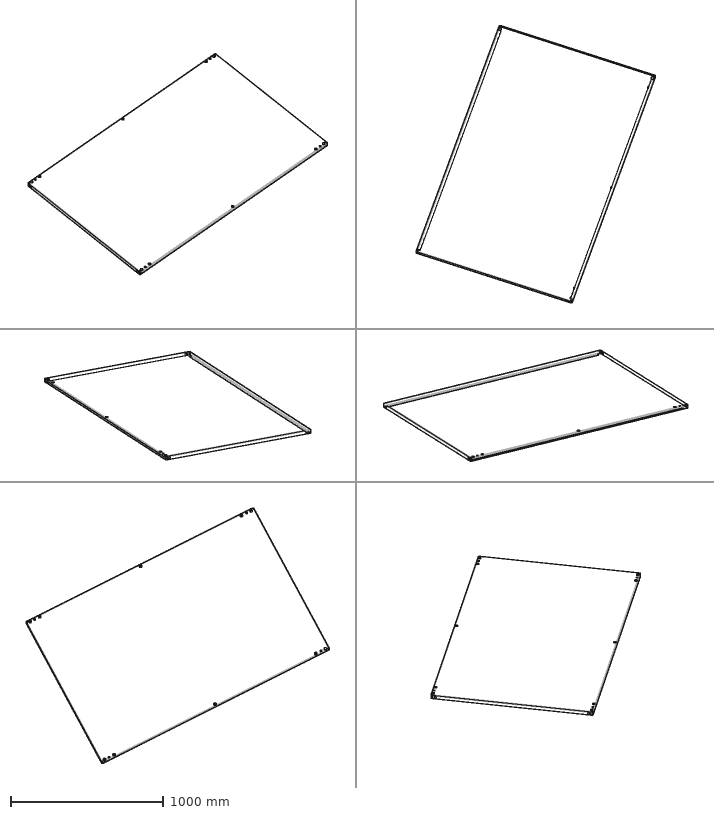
import cadquery as cq

length_x = 1088
length_y = 1688
height = 26.6

sheet = 2.0
bend_radius = 5.5
lip_width = 22
lip_end_inset = 28

corner_radius = 8.0
cap_x = 14.0
cap_y = corner_radius

hole_side_inset = 14.3
mounting_hole_diameter = 17
mounting_hole_end_inset = 26
small_hole_diameter = 11
small_hole_end_inset = 58.5
countersink_diameter = 19
countersunk_hole_diameter = 10
countersunk_hole_end_inset = 97

flange_hole_diameter = 15
flange_hole_side_inset = 30.5

half_x = length_x / 2
half_y = length_y / 2
top = height / 2
underside = top - sheet
hole_x = half_x - hole_side_inset
flange_hole_x = half_x - flange_hole_side_inset
flange_hole_z = -bend_radius / 2


def rounded_block(offset):
    """Outer form of the panel, with each of its faces moved inward by an offset."""
    width = length_x - 2 * offset
    radius = bend_radius - offset
    tray = cq.Workplane("XY").box(width, length_y - 2 * offset, height).translate((0, 0, -offset))
    tray = tray.edges("|Z").fillet(corner_radius - offset)
    tray = tray.faces(">Z").edges().fillet(radius)
    sides = cq.Workplane("XY").box(width, length_y, height - 2 * offset).edges("|Y").fillet(radius)
    return tray.intersect(sides)


def below_top_face(size_x, size_y):
    """Centred block that reaches from the underside of the top face to below the panel."""
    return cq.Workplane("XY").workplane(offset=underside).rect(size_x, size_y).extrude(-height)


def make_skin():
    """Sheet skin: top face, four flanges and a lip along the bottom of each long side."""
    inside_y = length_y - 2 * sheet
    between_lips = below_top_face(length_x - 2 * lip_width, inside_y)
    lip_ends = below_top_face(length_x - 2 * bend_radius, inside_y)
    lip_ends = lip_ends.cut(below_top_face(length_x, length_y - 2 * lip_end_inset))
    return rounded_block(0).cut(rounded_block(sheet)).cut(between_lips).cut(lip_ends)


def make_corner_blocks():
    """Upright blocks that mark off the caps at the four corners."""
    centres = cq.Workplane("XY").rect(length_x - cap_x, length_y - cap_y, forConstruction=True)
    return centres.vertices().rect(cap_x, cap_y).extrude(height, both=True)


def corner_points(end_inset):
    """Hole centres near the four corners, at a distance from the panel's ends."""
    hole_y = half_y - end_inset
    return [(side * hole_x, end * hole_y) for side in (-1, 1) for end in (-1, 1)]


def cut_plain_holes(panel, points, diameter):
    """Round holes through the top face."""
    face = cq.Workplane("XY").workplane(offset=underside)
    return panel.cut(face.pushPoints(points).circle(diameter / 2).extrude(sheet))


def cut_countersunk_holes(panel, points):
    """Conical holes that narrow from the top of the sheet to its underside."""
    cone = cq.Workplane("XY").workplane(offset=underside).circle(countersunk_hole_diameter / 2)
    cone = cone.workplane(offset=sheet).circle(countersink_diameter / 2).loft()
    for x, y in points:
        panel = panel.cut(cone.translate((x, y, 0)))
    return panel


def cut_flange_holes(panel):
    """Round holes near both ends of the two end flanges."""
    points = [(-flange_hole_x, flange_hole_z), (flange_hole_x, flange_hole_z)]
    holes = cq.Workplane("XZ").pushPoints(points).circle(flange_hole_diameter / 2)
    return panel.cut(holes.extrude(half_y, both=True))


def make_panel(skin, corner_blocks):
    """Folded panel with notched corners and all its holes."""
    panel = skin.cut(corner_blocks)
    panel = cut_plain_holes(panel, corner_points(mounting_hole_end_inset), mounting_hole_diameter)
    panel = cut_plain_holes(panel, corner_points(small_hole_end_inset), small_hole_diameter)
    middle_points = [(-hole_x, 0), (hole_x, 0)]
    panel = cut_countersunk_holes(panel, corner_points(countersunk_hole_end_inset) + middle_points)
    return cut_flange_holes(panel).solids()


def make_corner_caps(skin, corner_blocks):
    """Four separate rounded caps, one in each corner notch."""
    return skin.intersect(corner_blocks).solids()


skin = make_skin()
corner_blocks = make_corner_blocks()
panel = make_panel(skin, corner_blocks)
corner_caps = make_corner_caps(skin, corner_blocks)

result = cq.Compound.makeCompound([panel.val(), *corner_caps.vals()])